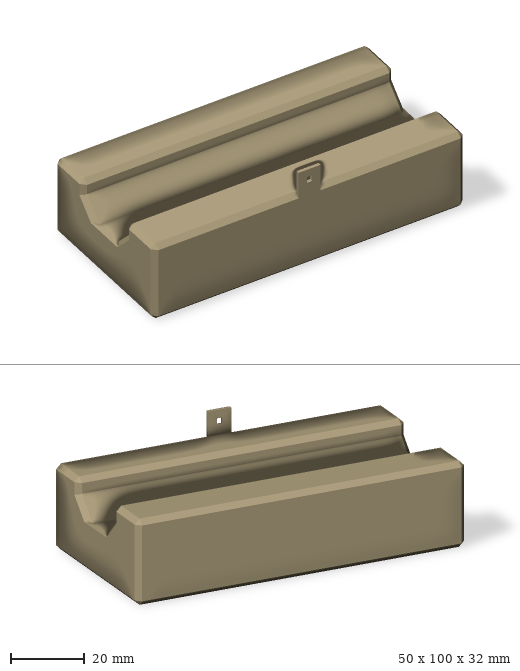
import cadquery as cq
import math

width = 50.0
length = 100.0
height = 25.0
bevel = 1.5

groove_width = 22.0
groove_half = groove_width / 2
octagon_half_side = groove_half * math.tan(math.pi / 8)
floor_z = height - groove_half

tab_thickness = 1.0
tab_width = 7.0
tab_rise = 7.0
tab_hole_width = 1.7
tab_hole_height = 1.9
tab_hole_rise = 3.6
tab_root_z = height - bevel


def make_block():
    """Block with the groove cut along its whole length."""
    profile = [
        (-width / 2, 0),
        (width / 2, 0),
        (width / 2, height),
        (groove_half, height),
        (groove_half, height - octagon_half_side),
        (octagon_half_side, floor_z),
        (-octagon_half_side, floor_z),
        (-groove_half, height - octagon_half_side),
        (-groove_half, height),
        (-width / 2, height),
    ]
    return cq.Workplane("XZ").polyline(profile).close().extrude(length / 2, both=True)


def bevel_edges(block):
    """Bevel every outer edge; the groove floor runs out square at both ends."""
    end_edges = block.faces("<Y or >Y").edges()
    floor_ends = block.faces(cq.selectors.NearestToPointSelector((0, 0, floor_z))).edges("|X")
    long_edges = block.faces(">Z or <Z").edges("|Y")
    edges = end_edges.add(long_edges)
    bevelled = [e for e in edges.vals() if not any(e.isSame(f) for f in floor_ends.vals())]
    return block.newObject(bevelled).chamfer(bevel)


def make_tab():
    """Thin upright plate with a rectangular hole, rooted in the +X top bevel."""
    tab_x = width / 2 - tab_thickness / 2
    plate = (
        cq.Workplane("XY", origin=(tab_x, 0, tab_root_z))
        .rect(tab_thickness, tab_width)
        .extrude(bevel + tab_rise)
    )
    hole = cq.Workplane("XY", origin=(tab_x, 0, height + tab_hole_rise)).box(
        tab_thickness, tab_hole_width, tab_hole_height
    )
    return plate.cut(hole)


result = bevel_edges(make_block()).union(make_tab())